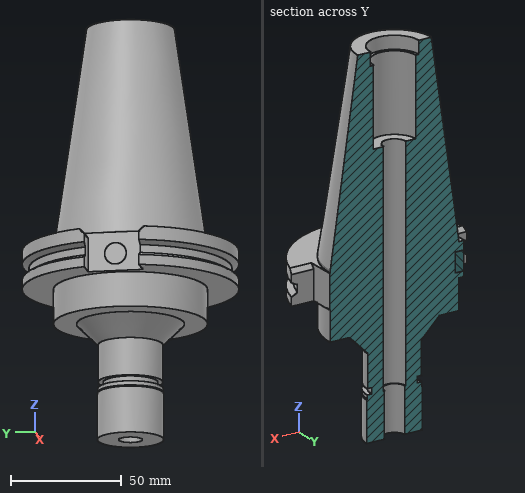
import cadquery as cq
import math

total_height = 190.5
nose_shoulder_z = 22.0
nose_step_height = 0.5
nose_top_z = 23.8
neck_top_z = 26.7
spindle_top_z = 44.0
collar_bottom_z = 53.7
flange_bottom_z = 69.7
flange_top_z = 87.6
taper_base_z = 88.8

nose_radius = 15.0
nose_band_radius = 14.9
neck_radius = 12.4
spindle_radius = 14.7
cone_top_radius = 24.4
collar_radius = 34.9
flange_diameter = 98.1
flange_radius = flange_diameter / 2
taper_top_radius = 20.0

groove_floor_radius = 46.0
groove_floor_bottom_z = 76.0
groove_floor_top_z = 79.6
groove_flare = 1.7

left_slot_floor_x = -37.5
right_slot_floor_x = 35.2
slot_half_width = 12.5
slot_chamfer = 2.3

counterbore_radius = 13.0
counterbore_depth = 6.9
thread_bore_radius = 11.2
thread_bore_depth = 47.6
channel_radius = 6.0
outlet_radius = 5.3

chip_radius = 5.0
chip_depth = 4.5
chip_z = 77.7


def turned_body():
    """Nose, spindle, collar, grooved flange and taper as one revolved profile."""
    groove_bottom_z = groove_floor_bottom_z - groove_flare
    groove_top_z = groove_floor_top_z + groove_flare
    profile = [
        (0, 0),
        (nose_radius, 0),
        (nose_radius, nose_shoulder_z - nose_step_height),
        (nose_band_radius, nose_shoulder_z),
        (nose_band_radius, nose_top_z),
        (neck_radius, nose_top_z),
        (neck_radius, neck_top_z),
        (spindle_radius, neck_top_z),
        (spindle_radius, spindle_top_z),
        (cone_top_radius, collar_bottom_z),
        (collar_radius, collar_bottom_z),
        (collar_radius, flange_bottom_z),
        (flange_radius, flange_bottom_z),
        (flange_radius, groove_bottom_z),
        (groove_floor_radius, groove_floor_bottom_z),
        (groove_floor_radius, groove_floor_top_z),
        (flange_radius, groove_top_z),
        (flange_radius, flange_top_z),
        (collar_radius, flange_top_z),
        (collar_radius, taper_base_z),
        (taper_top_radius, total_height),
        (0, total_height),
    ]
    return cq.Workplane("XZ").polyline(profile).close().revolve(360, (0, 0), (0, 1))


def drive_slot(floor_x):
    """Cutter for one slot with chamfered upper edges; it opens outward from floor_x."""
    slot_mouth = slot_half_width + slot_chamfer
    chamfer_bottom_z = flange_top_z - slot_chamfer
    outline = [
        (-slot_half_width, flange_bottom_z),
        (slot_half_width, flange_bottom_z),
        (slot_half_width, chamfer_bottom_z),
        (slot_mouth, flange_top_z),
        (-slot_mouth, flange_top_z),
        (-slot_half_width, chamfer_bottom_z),
    ]
    rim_x = math.copysign(flange_radius, floor_x)
    return (
        cq.Workplane("YZ", origin=(floor_x, 0, 0))
        .polyline(outline)
        .close()
        .extrude(rim_x - floor_x)
    )


def axial_bore():
    """Cutter for the stepped bore along Z."""
    counterbore_floor_z = total_height - counterbore_depth
    thread_floor_z = total_height - thread_bore_depth
    profile = [
        (0, 0),
        (outlet_radius, 0),
        (outlet_radius, nose_top_z),
        (channel_radius, nose_top_z),
        (channel_radius, thread_floor_z),
        (thread_bore_radius, thread_floor_z),
        (thread_bore_radius, counterbore_floor_z),
        (counterbore_radius, counterbore_floor_z),
        (counterbore_radius, total_height),
        (0, total_height),
    ]
    return cq.Workplane("XZ").polyline(profile).close().revolve(360, (0, 0), (0, 1))


def make_data_chip():
    """Round plug reaching inward from the -X slot floor."""
    return cq.Workplane("YZ", origin=(left_slot_floor_x, 0, chip_z)).circle(chip_radius).extrude(chip_depth)


def make_holder(chip):
    """Tool holder with its bore, both drive slots and a recess matching the chip."""
    body = turned_body().cut(axial_bore())
    for floor_x in (left_slot_floor_x, right_slot_floor_x):
        body = body.cut(drive_slot(floor_x))
    return body.cut(chip)


data_chip = make_data_chip()
holder = make_holder(data_chip)

result = cq.Compound.makeCompound([holder.val(), data_chip.val()])